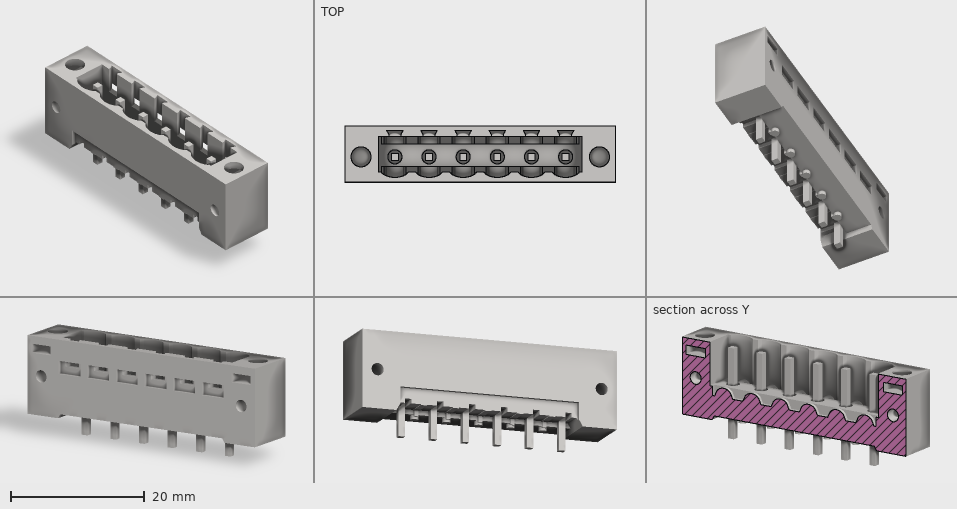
import cadquery as cq
import math

LENGTH = 40.5
FRONT_Y = -3.8
BACK_Y = 4.6
HEIGHT = 12.05

PIN_COUNT = 6
PITCH = 5.1
PIN_SIZE = 1.0
PIN_TOP = 11.0
PIN_BOTTOM = -3.1

CAVITY_HALF_LENGTH = 15.2
CAVITY_BACK_Y = 3.05
CAVITY_FRONT_Y = -2.23
SCALLOP_DEPTH = 0.85
SCALLOP_RADIUS = 3.25
SCALLOP_HALF_WIDTH = 1.6
RIDGE_TIP_WIDTH = 0.97
ROW_HALF_LENGTH = 14.75
TROUGH_Z = 3.85
HUMP_WIDTH = 3.3
HUMP_SHOULDER_HEIGHT = 0.85
CROWN_WIDTH = 2.5
CROWN_HEIGHT = 0.6
FLOOR_Z = TROUGH_Z + HUMP_SHOULDER_HEIGHT + CROWN_HEIGHT
FLOOR_STRIP_BACK_Y = 1.95
FLOOR_STRIP_FRONT_Y = -1.45
PIN_RECESS_DIAMETER = 2.1
PIN_RECESS_DEPTH = 0.4

DOVETAIL_MOUTH = 1.8
DOVETAIL_WIDTH = 2.43
DOVETAIL_NECK_DEPTH = 0.3
DOVETAIL_BACK_Y = 3.93
DOVETAIL_FLOOR_Z = 7.9
WINDOW_TOP_Z = 8.82
WINDOW_HEIGHT = 2.02
WINDOW_WIDTH = 3.9

SCREW_X = 17.8
SCREW_DIAMETER = 3.0
SCREW_DEPTH = 1.2
NUT_SLOT_WIDTH = 3.4
NUT_SLOT_HEIGHT = 1.38
CROSS_HOLE_DIAMETER = 1.9

UNDERSIDE_Z = 1.38
UNDERSIDE_HALF_LENGTH = 14.0
UNDERSIDE_MOUTH_HALF_LENGTH = 14.8
RECESS_HALF_LENGTH = 14.2
RECESS_TOP_Z = 3.7
RECESS_DEPTH = 0.6
RECESS_Y = FRONT_Y + RECESS_DEPTH
NOTCH_TOP_Z = 2.05
STEP_Y = PIN_SIZE / 2
STEP_Z = 0.65
RIB_WIDTH = 0.65
RIB_DEPTH = 0.32
RIB_BOTTOM_Z = 0.35
LIP_WIDTH = 0.97
LIP_HEIGHT = 0.12
PEG_DIAMETER = 1.25

pin_xs = [(i - (PIN_COUNT - 1) / 2) * PITCH for i in range(PIN_COUNT)]
gap_xs = [x + PITCH / 2 for x in pin_xs[:-1]]


def box(x0, x1, y0, y1, z0, z1):
    """Axis-aligned block between the given limits."""
    return cq.Workplane("XY").box(x1 - x0, y1 - y0, z1 - z0, centered=False).translate((x0, y0, z0))


def slanted_underside(half_top, top_z, y0, y1):
    """Trapezoid prism that clears the underside between the end blocks."""
    half_mouth = UNDERSIDE_MOUTH_HALF_LENGTH
    corners = [(-half_mouth, 0), (half_mouth, 0), (half_top, top_z), (-half_top, top_z)]
    return cq.Workplane("XZ", origin=(0, y0, 0)).polyline(corners).close().extrude(y0 - y1)


def scallop_y(offset):
    """Y of a scallop arc at the given X offset from its pin."""
    centre_y = CAVITY_FRONT_Y - SCALLOP_DEPTH + SCALLOP_RADIUS
    return centre_y - math.sqrt(SCALLOP_RADIUS ** 2 - offset ** 2)


def scalloped_front(bottom_z):
    """Row of wide round scallops, parted by blunt ridges, that widens the cavity to the front."""
    end_offset = ROW_HALF_LENGTH - pin_xs[-1]
    ridge_offset = (PITCH - RIDGE_TIP_WIDTH) / 2
    outline = cq.Workplane("XY", origin=(0, 0, bottom_z)).moveTo(-ROW_HALF_LENGTH, CAVITY_FRONT_Y)
    for x in pin_xs:
        if x == pin_xs[0]:
            left = end_offset
        else:
            outline = outline.lineTo(x - ridge_offset, CAVITY_FRONT_Y)
            left = SCALLOP_HALF_WIDTH
        right = end_offset if x == pin_xs[-1] else SCALLOP_HALF_WIDTH
        outline = outline.lineTo(x - left, scallop_y(left))
        outline = outline.threePointArc((x, scallop_y(0)), (x + right, scallop_y(right)))
        if x != pin_xs[-1]:
            outline = outline.lineTo(x + ridge_offset, CAVITY_FRONT_Y)
    outline = outline.lineTo(ROW_HALF_LENGTH, CAVITY_FRONT_Y)
    outline = outline.lineTo(ROW_HALF_LENGTH, 0).lineTo(-ROW_HALF_LENGTH, 0).close()
    return outline.extrude(HEIGHT - bottom_z)


def hump(x):
    """Ridge along Y with a round crown and steep flat flanks, standing on the trough floor."""
    shoulder_z = TROUGH_Z + HUMP_SHOULDER_HEIGHT
    return (
        cq.Workplane("XZ", origin=(x, BACK_Y, 0))
        .moveTo(-HUMP_WIDTH / 2, TROUGH_Z)
        .lineTo(-CROWN_WIDTH / 2, shoulder_z)
        .threePointArc((0, FLOOR_Z), (CROWN_WIDTH / 2, shoulder_z))
        .lineTo(HUMP_WIDTH / 2, TROUGH_Z)
        .close()
        .extrude(BACK_Y - FRONT_Y)
    )


def cavity():
    """Cavity with a raised floor strip, and a trough with round humps on each side of it."""
    space = box(-CAVITY_HALF_LENGTH, CAVITY_HALF_LENGTH, CAVITY_FRONT_Y, CAVITY_BACK_Y, FLOOR_Z, HEIGHT)
    trough = box(-ROW_HALF_LENGTH, ROW_HALF_LENGTH, CAVITY_FRONT_Y, CAVITY_BACK_Y, TROUGH_Z, FLOOR_Z)
    space = space.union(trough).union(scalloped_front(TROUGH_Z))
    strip = box(-ROW_HALF_LENGTH, ROW_HALF_LENGTH, FLOOR_STRIP_FRONT_Y, FLOOR_STRIP_BACK_Y, TROUGH_Z, FLOOR_Z)
    space = space.cut(strip)
    for x in pin_xs:
        space = space.cut(hump(x))
    return space


def dovetail_slot(x):
    """Coding slot in the back wall, with the window that opens it to the back."""
    neck_y = CAVITY_BACK_Y + DOVETAIL_NECK_DEPTH
    half_mouth = DOVETAIL_MOUTH / 2
    half_width = DOVETAIL_WIDTH / 2
    corners = [
        (-half_mouth, CAVITY_BACK_Y), (half_mouth, CAVITY_BACK_Y), (half_mouth, neck_y),
        (half_width, DOVETAIL_BACK_Y), (-half_width, DOVETAIL_BACK_Y), (-half_mouth, neck_y),
    ]
    slot = (
        cq.Workplane("XY", origin=(x, 0, DOVETAIL_FLOOR_Z))
        .polyline(corners)
        .close()
        .extrude(HEIGHT - DOVETAIL_FLOOR_Z)
    )
    half = WINDOW_WIDTH / 2
    window = box(x - half, x + half, DOVETAIL_BACK_Y, BACK_Y, WINDOW_TOP_Z - WINDOW_HEIGHT, WINDOW_TOP_Z)
    return slot.union(window)


def fixing_holes(x):
    """Screw hole from the top, nut slot below it open to the back, and cross hole along Y."""
    screw_bottom = HEIGHT - SCREW_DEPTH
    screw = cq.Workplane("XY", origin=(x, 0, screw_bottom)).circle(SCREW_DIAMETER / 2).extrude(SCREW_DEPTH)
    half = NUT_SLOT_WIDTH / 2
    nut_slot = box(x - half, x + half, -half, BACK_Y, screw_bottom - NUT_SLOT_HEIGHT, screw_bottom)
    cross = (
        cq.Workplane("XZ", origin=(x, BACK_Y, HEIGHT / 2))
        .circle(CROSS_HOLE_DIAMETER / 2)
        .extrude(BACK_Y - FRONT_Y)
    )
    return screw.union(nut_slot).union(cross)


def underside_clearance():
    """Space below the housing: stepped underside, front recess and a notch in front of each pin."""
    slope = (UNDERSIDE_MOUTH_HALF_LENGTH - UNDERSIDE_HALF_LENGTH) / UNDERSIDE_Z
    step_half_length = UNDERSIDE_MOUTH_HALF_LENGTH - slope * STEP_Z
    space = slanted_underside(UNDERSIDE_HALF_LENGTH, UNDERSIDE_Z, FRONT_Y, STEP_Y)
    space = space.union(slanted_underside(step_half_length, STEP_Z, STEP_Y, BACK_Y))
    space = space.union(box(-RECESS_HALF_LENGTH, RECESS_HALF_LENGTH, FRONT_Y, RECESS_Y, 0, RECESS_TOP_Z))
    half = PIN_SIZE / 2
    for x in pin_xs:
        space = space.union(box(x - half, x + half, RECESS_Y, -half, UNDERSIDE_Z, NOTCH_TOP_Z))
    return space


def standoff(x):
    """Round peg under the rear step, with a rib ahead of it and a low lip running to the front."""
    peg_y = STEP_Y + PEG_DIAMETER / 2
    peg = cq.Workplane("XY", origin=(x, peg_y, 0)).circle(PEG_DIAMETER / 2).extrude(STEP_Z)
    rib = box(x - RIB_WIDTH / 2, x + RIB_WIDTH / 2, STEP_Y - RIB_DEPTH, peg_y, RIB_BOTTOM_Z, UNDERSIDE_Z)
    lip = box(x - LIP_WIDTH / 2, x + LIP_WIDTH / 2, RECESS_Y, STEP_Y, UNDERSIDE_Z - LIP_HEIGHT, UNDERSIDE_Z)
    return peg.union(rib).union(lip)


def make_pin(x):
    """Square contact pin."""
    half = PIN_SIZE / 2
    return box(x - half, x + half, -half, half, PIN_BOTTOM, PIN_TOP)


def make_housing():
    """Connector housing with a square hole for each pin."""
    body = box(-LENGTH / 2, LENGTH / 2, FRONT_Y, BACK_Y, 0, HEIGHT)
    body = body.cut(cavity()).cut(underside_clearance())
    for x in gap_xs:
        body = body.union(standoff(x))
    for x in (-SCREW_X, SCREW_X):
        body = body.cut(fixing_holes(x))
    recesses = (
        cq.Workplane("XY", origin=(0, 0, FLOOR_Z - PIN_RECESS_DEPTH))
        .pushPoints([(x, 0) for x in pin_xs])
        .circle(PIN_RECESS_DIAMETER / 2)
        .extrude(PIN_RECESS_DEPTH)
    )
    body = body.cut(recesses)
    for x in pin_xs:
        body = body.cut(dovetail_slot(x)).cut(make_pin(x))
    return body


housing = make_housing()
pins = [make_pin(x) for x in pin_xs]

result = cq.Compound.makeCompound([housing.val(), *[pin.val() for pin in pins]])